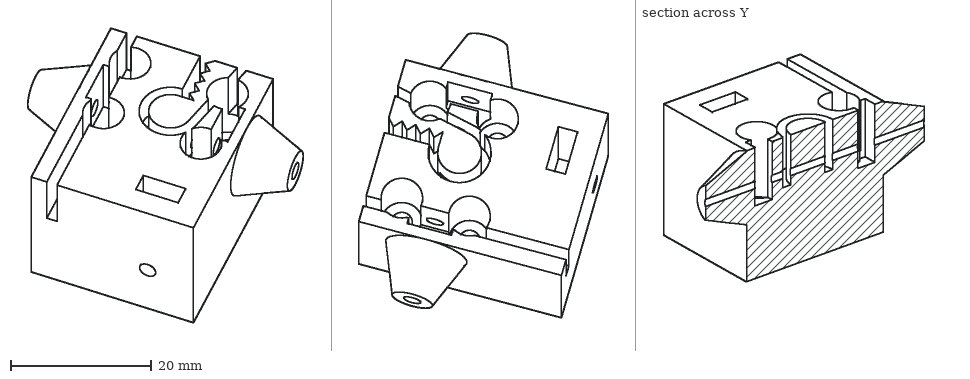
import cadquery as cq
import math

total_length = 40.0
block_length = 25.0
block_width = 30.0
block_height = 21.0
back_face = block_width / 2

spout_length = (total_length - block_length) / 2
spout_base_diameter = 12.0
spout_tip_diameter = 6.0
spout_y = 5.0
spout_drop = 6.0
bore_diameter = 2.5

bolt_spacing_x = 15.0
bolt_spacing_y = 10.0
bolt_diameter = 3.0
head_diameter = 5.9
head_depth = 12.0

pocket_outer_x = 10.9
pocket_inner_x = 7.9
pocket_width = 6.55
pocket_depth = spout_drop + pocket_width / 2

slot_left_x = -10.1
slot_width = 1.55
slot_depth = 8.0

channel_depth = 8.0
island_x = 1.25
island_radius = 3.1
loop_radius = 4.5
exit_angle = math.radians(12.8)
tooth_pitch = 2.0
tooth_count = 4
tooth_root_x = 3.55
tooth_tip_x = 2.45
teeth_end_y = back_face - tooth_count * tooth_pitch
island_y = teeth_end_y - island_radius

screw_x = 5.45
screw_drop = 12.5
screw_diameter = 2.5
nut_length = 6.5
nut_thickness = 2.85
nut_y = -10.1
nut_depth = screw_drop + nut_length / 2


def top_box(x_min, x_max, y_center, y_size, depth):
    """Rectangular cutter reaching down from the top face."""
    return (
        cq.Workplane("XY", origin=((x_min + x_max) / 2, y_center, block_height - depth))
        .rect(x_max - x_min, y_size)
        .extrude(depth)
    )


def spout(side):
    """Cone on the end wall at side = -1 or +1, narrowing outwards."""
    return cq.Workplane(
        cq.Solid.makeCone(
            spout_base_diameter / 2,
            spout_tip_diameter / 2,
            spout_length,
            cq.Vector(side * block_length / 2, spout_y, block_height - spout_drop),
            cq.Vector(side, 0, 0),
        )
    )


def loop_point(radius, angle):
    """Point on a circle around the island centre."""
    return (island_x + radius * math.cos(angle), island_y + radius * math.sin(angle))


def exit_point(radius):
    """Where the slanted tangent to a loop circle meets the back face."""
    x_at_center = island_x + radius / math.cos(exit_angle)
    return (x_at_center + (back_face - island_y) * math.tan(exit_angle), back_face)


def belt_channel():
    arc_middle = (math.pi / 2 + 2 * math.pi - exit_angle) / 2
    outline = (
        cq.Workplane("XY", origin=(0, 0, block_height - channel_depth))
        .moveTo(island_x, back_face)
        .lineTo(*loop_point(loop_radius, math.pi / 2))
        .threePointArc(loop_point(loop_radius, arc_middle), loop_point(loop_radius, -exit_angle))
        .lineTo(*exit_point(loop_radius))
        .lineTo(*exit_point(island_radius))
        .lineTo(*loop_point(island_radius, -exit_angle))
        .threePointArc(loop_point(island_radius, arc_middle), loop_point(island_radius, math.pi / 2))
        .lineTo(tooth_root_x, teeth_end_y)
    )
    for tooth in range(tooth_count):
        root_y = teeth_end_y + tooth * tooth_pitch
        outline = outline.lineTo(tooth_tip_x, root_y + tooth_pitch / 2)
        outline = outline.lineTo(tooth_root_x, root_y + tooth_pitch)
    return outline.close().extrude(channel_depth)


result = cq.Workplane("XY").box(block_length, block_width, block_height, centered=(True, True, False))
for side in (-1, 1):
    result = result.union(spout(side))

bore = (
    cq.Workplane("YZ", origin=(-total_length / 2, spout_y, block_height - spout_drop))
    .circle(bore_diameter / 2)
    .extrude(total_length)
)
result = result.cut(bore)

result = result.cut(top_box(slot_left_x, slot_left_x + slot_width, 0, block_width, slot_depth))
result = result.cut(belt_channel())

result = result.cut(top_box(-pocket_outer_x, -pocket_inner_x, spout_y, pocket_width, pocket_depth))
result = result.cut(top_box(pocket_inner_x, pocket_outer_x, spout_y, pocket_width, pocket_depth))

bolts = cq.Workplane("XY", origin=(0, spout_y, 0)).rarray(bolt_spacing_x, bolt_spacing_y, 2, 2)
heads = bolts.circle(head_diameter / 2).extrude(head_depth)
result = result.cut(bolts.circle(bolt_diameter / 2).extrude(block_height))
result = result.cut(heads.translate((0, 0, block_height - head_depth)))

result = result.cut(
    top_box(screw_x - nut_length / 2, screw_x + nut_length / 2, nut_y, nut_thickness, nut_depth)
)
screw_hole = (
    cq.Workplane("XZ", origin=(screw_x, nut_y, block_height - screw_drop))
    .circle(screw_diameter / 2)
    .extrude(block_width / 2 + nut_y)
)
result = result.cut(screw_hole)